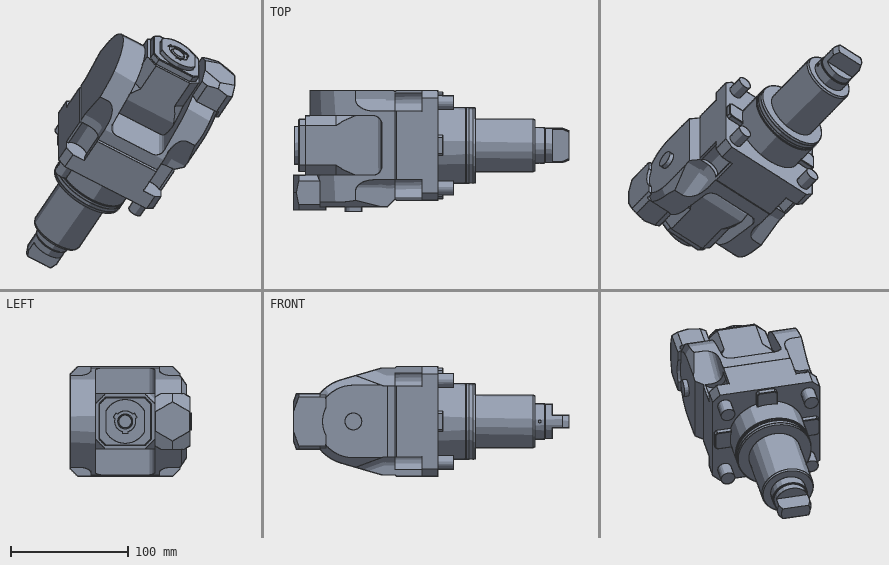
import math
import cadquery as cq


margin = 1.0

half_width = 47.0
corner_chamfer = 6.5
flange_thickness = 13.6
block_front_x = -35.4
block_step_x = -36.7

yoke_half_height = 45.8
arm_front_y = -52.5
arm_edge_y = -46.0
pivot_x = -72.3
arm_radius = 37.2
shoulder_x = -47.9
relief_groove_width = 1.5
relief_groove_depth = 0.8
slot_half_width = 25.5
slot_end_x = -48.0
slot_corner_radius = 7.8
face_radius = 31.0
face_bevel_depth = 4.2
face_bevel_width = 6.2
pin_radius = 7.2
pin_end_y = -56.5

bolt_y = 36.6
bolt_z = 35.0
bolt_radius = 6.0
bolt_length = 13.3
counterbore_radius = 9.6
channel_y = 29.3
channel_z = 30.2
channel_fillet = 10.0
channel_bend_x = -46.2
channel_bend_radius = 10.2
channel_exit_x = -70.9
channel_exit_z = 39.4
channel_reach = 70.0

key_half_width = 8.8
key_height = 4.2
key_inner = 30.0
key_outer = 45.7
key_corner_chamfer = 2.0
key_edge_chamfer = 0.5

collar_radius = 32.5
collar_end_x = 32.0
collar_taper_depth = 0.5
ring_groove_x = 23.5
ring_groove_width = 0.8
ring_groove_depth = 0.8
seal_groove_x = 26.6
seal_groove_width = 3.2
seal_groove_depth = 0.3
shank_radius = 22.6
shank_end_x = 82.9
shank_chamfer_length = 1.7
shank_chamfer_depth = 0.8
neck_radius = 15.3
neck_end_x = 91.0
neck_groove_width = 0.8
neck_groove_depth = 0.4
tang_radius = 14.7
tang_shoulder_x = 97.8
tang_end_x = 112.1
tang_half_thickness = 5.4
tang_taper_length = 5.5
tang_taper_depth = 2.2
cross_hole_x = 87.0
cross_hole_radius = 1.2
cross_hole_depth = 4.0

head_half_height = 23.7
head_front_x = -113.4
head_chamfer = 8.7
head_chamfer_end_x = -87.2
head_runout_bend_x = -80.8
head_runout_bend_size = 4.6
head_runout_x = -70.5
plate_front_x = -119.0
plate_half_width = 22.5
plate_half_height = 20.7
plate_corner_chamfer = 5.6
plate_edge_chamfer = 0.7
cap_front_x = -122.7
cap_radius = 18.7
cap_half_width = 16.3
socket_radius = 9.0
socket_depth = 1.2
socket_notch_radius = 10.5
socket_notch_width = 4.4
socket_notch_count = 3
socket_core_radius = 6.4
socket_core_chamfer = 1.0

stop_front_x = -123.6
stop_back_x = -95.7
stop_inner_y = -slot_half_width
stop_outer_y = -55.4
stop_half_height = 23.8
stop_edge_width = 5.0
stop_edge_drop = 2.9
stop_nose_apothem = 14.5
stop_nose_rise = 2.38
stop_nose_facets = 6
stop_clearance_radius = 26.3


def box(x0, x1, y0, y1, z0, z1):
    """Axis-aligned box between two opposite corners."""
    corner = cq.Vector(x0, y0, z0)
    return cq.Workplane(cq.Solid.makeBox(x1 - x0, y1 - y0, z1 - z0, corner))


def cylinder_x(radius, x0, x1, y=0.0, z=0.0):
    """Cylinder parallel to X."""
    start = cq.Vector(x0, y, z)
    return cq.Workplane(cq.Solid.makeCylinder(radius, x1 - x0, start, cq.Vector(1, 0, 0)))


def cylinder_y(radius, y0, y1, x):
    """Cylinder parallel to Y, centred on Z = 0."""
    start = cq.Vector(x, y0, 0)
    return cq.Workplane(cq.Solid.makeCylinder(radius, y1 - y0, start, cq.Vector(0, 1, 0)))


def with_mirrors(shape, *planes):
    """Unite a shape with its mirror image in each plane in turn."""
    for plane in planes:
        shape = shape.union(shape.mirror(plane))
    return shape


def make_block():
    block = box(block_front_x, 0, -half_width, half_width, -half_width, half_width)
    return block.edges("|X").chamfer(corner_chamfer)


def make_yoke():
    run = shoulder_x - pivot_x
    reach = math.hypot(run, yoke_half_height)
    tangent_angle = math.atan2(yoke_half_height, run) + math.acos(arm_radius / reach)
    tangent_x = pivot_x + arm_radius * math.cos(tangent_angle)
    tangent_z = arm_radius * math.sin(tangent_angle)
    side = (
        cq.Workplane("XZ", origin=(0, half_width, 0))
        .moveTo(block_front_x, -half_width)
        .lineTo(block_step_x, -yoke_half_height)
        .lineTo(shoulder_x, -yoke_half_height)
        .lineTo(tangent_x, -tangent_z)
        .threePointArc((pivot_x - arm_radius, 0), (tangent_x, tangent_z))
        .lineTo(shoulder_x, yoke_half_height)
        .lineTo(block_step_x, yoke_half_height)
        .lineTo(block_front_x, half_width)
        .close()
        .extrude(half_width - arm_front_y)
    )
    bevel_start_x = block_step_x - (arm_edge_y - arm_front_y)
    groove_start_x = block_step_x - relief_groove_width
    arm_tip_x = pivot_x - arm_radius
    plan = (
        cq.Workplane("XY", origin=(0, 0, -half_width))
        .polyline([
            (arm_tip_x, arm_front_y),
            (bevel_start_x, arm_front_y),
            (block_step_x, arm_edge_y),
            (block_front_x, -half_width),
            (block_front_x, half_width),
            (block_step_x, half_width - relief_groove_depth),
            (groove_start_x, half_width),
            (arm_tip_x, half_width),
        ])
        .close()
        .extrude(2 * half_width)
    )
    return bevel_front_arm(side.intersect(plan)).cut(make_slot())


def bevel_front_arm(yoke):
    """Bevel the rim of the front arm around its flat outer face."""
    depth = -slot_half_width - arm_front_y
    widest = face_radius + depth * face_bevel_width / face_bevel_depth
    cone = cq.Workplane(
        cq.Solid.makeCone(
            face_radius, widest, depth, cq.Vector(pivot_x, arm_front_y, 0), cq.Vector(0, 1, 0)
        )
    )
    inner_y = arm_front_y + depth
    wedge = (
        cq.Workplane("YZ", origin=(pivot_x, 0, 0))
        .polyline([
            (arm_front_y, -face_radius),
            (inner_y, -widest),
            (inner_y, widest),
            (arm_front_y, face_radius),
        ])
        .close()
        .extrude(-pivot_x)
    )
    rest = box(pivot_x - arm_radius, 0, inner_y, half_width, -half_width, half_width)
    return yoke.intersect(cone.union(wedge).union(rest))


def make_slot():
    start_x = pivot_x - arm_radius
    slot = box(start_x, slot_end_x, -slot_half_width, slot_half_width, -half_width, half_width)
    return slot.edges("|Z and >X").fillet(slot_corner_radius)


def make_channels():
    """Bolt access: filleted troughs through the yoke, then counterbores into the block."""
    floor_slope = (channel_exit_z - channel_z) / (channel_bend_x - channel_exit_x)
    tip_x = channel_bend_x - (channel_reach - channel_z) / floor_slope
    trough = (
        cq.Workplane("XZ", origin=(0, channel_y, 0))
        .polyline([
            (block_step_x, channel_z),
            (channel_bend_x, channel_z),
            (tip_x, channel_reach),
            (block_step_x, channel_reach),
        ])
        .close()
        .extrude(channel_y - channel_reach)
    )
    bend_edge = cq.selectors.NearestToPointSelector(
        (channel_bend_x, (channel_y + channel_reach) / 2, channel_z)
    )
    trough = trough.edges(bend_edge).fillet(channel_bend_radius)
    inner_floor_edges = cq.selectors.BoxSelector(
        (tip_x - margin, channel_y - margin, channel_z - margin),
        (block_step_x - margin, channel_y + margin, channel_reach - margin),
    )
    trough = trough.edges(inner_floor_edges).fillet(channel_fillet)
    recess = box(
        block_step_x, -flange_thickness, channel_y, channel_reach, channel_z, channel_reach
    )
    bore = cylinder_x(counterbore_radius, block_step_x, -flange_thickness, bolt_y, bolt_z)
    return with_mirrors(trough.union(recess).union(bore), "XZ", "XY")


def make_bolts():
    bolt = cylinder_x(bolt_radius, 0, bolt_length, bolt_y, bolt_z)
    return with_mirrors(bolt, "XZ", "XY")


def make_keys():
    """Keys on the top, front and rear of the seat."""
    key = box(0, key_height, -key_half_width, key_half_width, key_inner, key_outer)
    key = key.edges("|X and >Z").chamfer(key_corner_chamfer)
    key = key.faces(">X").edges().chamfer(key_edge_chamfer)
    keys = key
    for angle in (90, -90):
        keys = keys.union(key.rotate((0, 0, 0), (1, 0, 0), angle))
    return keys


def turned_groove(x, width, radius, depth):
    ring = cylinder_x(radius + margin, x, x + width)
    return ring.cut(cylinder_x(radius - depth, x, x + width))


def make_spindle():
    spindle = (
        cq.Workplane("XY")
        .polyline([
            (0, 0),
            (0, collar_radius),
            (seal_groove_x + seal_groove_width, collar_radius),
            (collar_end_x, collar_radius - collar_taper_depth),
            (collar_end_x, shank_radius),
            (shank_end_x - shank_chamfer_length, shank_radius),
            (shank_end_x, shank_radius - shank_chamfer_depth),
            (shank_end_x, neck_radius),
            (neck_end_x, neck_radius),
            (neck_end_x, tang_radius),
            (tang_end_x - tang_taper_length, tang_radius),
            (tang_end_x, tang_radius - tang_taper_depth),
            (tang_end_x, 0),
        ])
        .close()
        .revolve(360, (0, 0, 0), (1, 0, 0))
    )
    grooves = (
        (ring_groove_x, ring_groove_width, collar_radius, ring_groove_depth),
        (seal_groove_x, seal_groove_width, collar_radius, seal_groove_depth),
        (neck_end_x, neck_groove_width, tang_radius, neck_groove_depth),
    )
    for x, width, radius, depth in grooves:
        spindle = spindle.cut(turned_groove(x, width, radius, depth))
    flat = box(
        tang_shoulder_x, tang_end_x, -tang_radius, tang_radius, tang_half_thickness, tang_radius
    )
    spindle = spindle.cut(with_mirrors(flat, "XY"))
    cross_hole = cylinder_y(
        cross_hole_radius, -neck_radius, cross_hole_depth - neck_radius, cross_hole_x
    )
    return spindle.cut(cross_hole)


def make_head():
    head = box(
        head_front_x, pivot_x, -slot_half_width, slot_half_width, -head_half_height, head_half_height
    )
    head = head.union(cylinder_y(head_half_height, -slot_half_width, slot_half_width, pivot_x))
    head = head.cut(with_mirrors(make_head_chamfer(), "XZ", "XY"))

    plate = box(
        plate_front_x,
        head_front_x,
        -plate_half_width,
        plate_half_width,
        -plate_half_height,
        plate_half_height,
    )
    plate = plate.edges("|X").chamfer(plate_corner_chamfer)
    plate = plate.faces("<X").edges().chamfer(plate_edge_chamfer)
    cap = cylinder_x(cap_radius, cap_front_x, plate_front_x).intersect(
        box(cap_front_x, plate_front_x, -cap_half_width, cap_half_width, -cap_radius, cap_radius)
    )
    return head.union(plate).union(cap).cut(make_socket())


def head_corner(size):
    """Triangle cut from the upper rear corner of the head by a chamfer of this size."""
    return [
        (slot_half_width - size, head_half_height),
        (slot_half_width, head_half_height - size),
        (slot_half_width, head_half_height),
    ]


def make_head_chamfer():
    """Corner chamfer of the head that runs out in two steps towards the pivot."""
    straight = (
        cq.Workplane("YZ", origin=(head_front_x, 0, 0))
        .polyline(head_corner(head_chamfer))
        .close()
        .extrude(head_chamfer_end_x - head_front_x)
    )
    steep_runout = (
        cq.Workplane("YZ", origin=(head_chamfer_end_x, 0, 0))
        .polyline(head_corner(head_chamfer))
        .close()
        .workplane(offset=head_runout_bend_x - head_chamfer_end_x)
        .polyline(head_corner(head_runout_bend_size))
        .close()
        .loft(ruled=True)
    )
    tip = cq.Vector(head_runout_x, slot_half_width, head_half_height)
    base = [cq.Vector(head_runout_bend_x, y, z) for y, z in head_corner(head_runout_bend_size)]
    triangles = [base] + [[base[i], base[i - 1], tip] for i in range(len(base))]
    faces = [cq.Face.makeFromWires(cq.Wire.makePolygon(t, close=True)) for t in triangles]
    shallow_runout = cq.Workplane(cq.Solid.makeSolid(cq.Shell.makeShell(faces)))
    return straight.union(steep_runout).union(shallow_runout)


def make_socket():
    """Shallow recess with three notches around a chamfered core."""
    bottom_x = cap_front_x + socket_depth
    socket = cylinder_x(socket_radius, cap_front_x, bottom_x)
    notch = box(
        cap_front_x,
        bottom_x,
        -socket_notch_width / 2,
        socket_notch_width / 2,
        -socket_notch_radius,
        0,
    )
    for i in range(socket_notch_count):
        angle = i * 360 / socket_notch_count
        socket = socket.union(notch.rotate((0, 0, 0), (1, 0, 0), angle))
    core = cylinder_x(socket_core_radius, cap_front_x, bottom_x)
    core = core.faces("<X").edges().chamfer(socket_core_chamfer)
    return socket.cut(core)


def make_stop():
    stop_y = (stop_inner_y + stop_outer_y) / 2
    half = (stop_inner_y - stop_outer_y) / 2
    shoulder_z = stop_half_height - stop_edge_drop
    ridge_half = half - stop_edge_width
    length = stop_back_x - stop_front_x
    bar = (
        cq.Workplane("YZ", origin=(stop_front_x, stop_y, 0))
        .polyline([
            (-half, -shoulder_z),
            (-ridge_half, -stop_half_height),
            (ridge_half, -stop_half_height),
            (half, -shoulder_z),
            (half, shoulder_z),
            (ridge_half, stop_half_height),
            (-ridge_half, stop_half_height),
            (-half, shoulder_z),
        ])
        .close()
        .extrude(length)
    )
    facet_angle = 360 / stop_nose_facets
    facet_reach = 2 * stop_half_height
    facet_end = stop_nose_apothem + facet_reach
    wedge = (
        cq.Workplane("XZ", origin=(0, stop_y + facet_reach, 0))
        .polyline([
            (stop_front_x, stop_nose_apothem),
            (stop_front_x + facet_reach / stop_nose_rise, facet_end),
            (stop_front_x, facet_end),
        ])
        .close()
        .extrude(2 * facet_reach)
    )
    for i in range(stop_nose_facets):
        angle = (i + 0.5) * facet_angle
        bar = bar.cut(wedge.rotate((0, stop_y, 0), (1, stop_y, 0), angle))
    root_x = pivot_x - math.sqrt(arm_radius**2 - stop_half_height**2)
    bar = bar.cut(
        box(root_x, stop_back_x, arm_front_y, stop_inner_y, -stop_half_height, stop_half_height)
    )
    clearance = cylinder_y(stop_clearance_radius, stop_outer_y, arm_front_y, pivot_x)
    return bar.cut(clearance)


body = make_block().union(make_yoke()).cut(make_channels())
body = body.union(make_spindle()).union(make_bolts()).union(make_keys())
body = body.union(make_head()).union(make_stop())
result = body.union(cylinder_y(pin_radius, pin_end_y, arm_front_y, pivot_x))